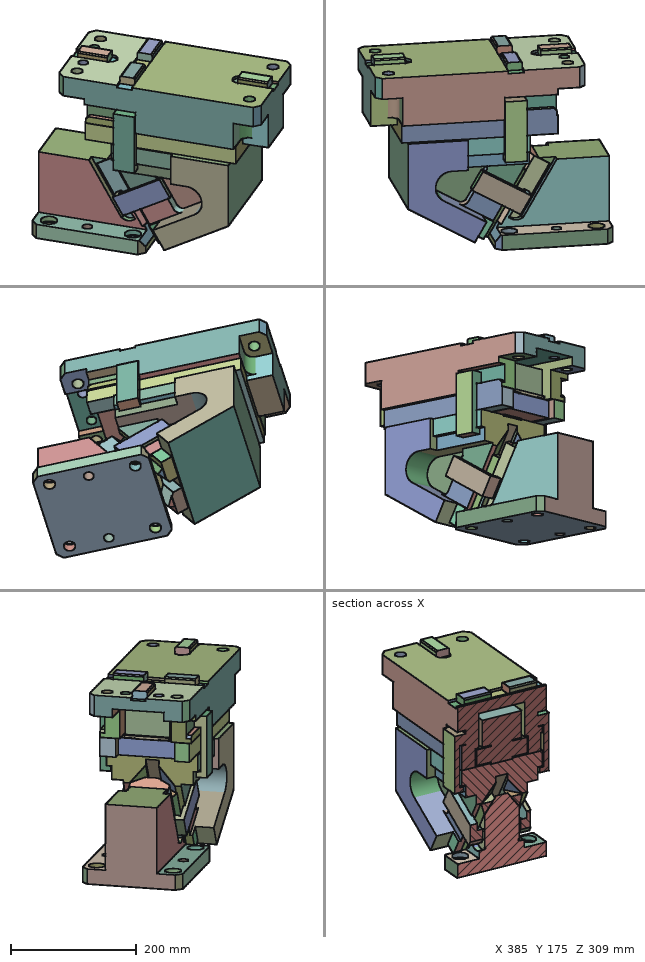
import cadquery as cq
import math

BODY_HALF_WIDTH = 82.5
CORNER_CHAMFER = 10.0
BOLT_DIAMETER = 18.0
DOWEL_DIAMETER = 15.8
HOOK_PLATE_WIDTH = 35.0
SIDES = (-1, 1)
CLEAR = 19.2

CAM_ANGLE = 30.0
CAM_X = 131.5
CAM_Z = 145.5
COS = math.cos(math.radians(CAM_ANGLE))
SIN = math.sin(math.radians(CAM_ANGLE))
CAM_CROSS = cq.Plane(origin=(CAM_X, 0, CAM_Z), xDir=(0, 1, 0), normal=(SIN, 0, -COS))

BASE_LENGTH = 190.5
BASE_THICKNESS = 25.0
BLOCK_HALF_WIDTH = 42.5
BLOCK_TOP = 134.0
BASE_BOLT_INSET = 24.5
BASE_BOLT_Y = 62.8
BASE_BORE_DIAMETER = 26.0
BASE_BORE_DEPTH = 8.5
BASE_DOWEL_X = 89.5

RIDGE_CREST_HALF = 10.8
RIDGE_FOOT_N = -20.5
RIDGE_LENGTH = 121.5
RIDGE_SLOPE = -RIDGE_FOOT_N / (BLOCK_HALF_WIDTH - RIDGE_CREST_HALF)
TOE_N = -16.0
RIDGE_ROOT_N = -43.0

POCKET_N = -46.2
POCKET_END_S = 106.3
POCKET_HALF_WIDTH = 32.5
POCKET_RADIUS = 15.5
RELIEF_HALF_WIDTH = 30.5
RELIEF_END_S = 96.2
WING_UNDERSIDE_N = -25.8
WING_START_S = 73.0

SLIDER_FRONT = 134.0
SLIDER_BACK = 333.5
SLIDER_TOP = 187.5
SLIDER_UNDERSIDE_N = -4.0
SLIDER_END_S = 154.5
ARM_FRONT_N = 16.0
ARM_END_S = 159.5
ARM_INNER_HALF = 52.0
WEB_HALF_WIDTH = 47.7

RAIL_HALF_WIDTH = 75.0
RAIL_NECK_HALF = 67.0
RAIL_UNDERSIDE = 159.5
RAIL_END = 236.5

SLOT_TOP = 137.5
SLOT_FLOOR_S = 121.3
SLOT_RADIUS = 26.0
DEEP_HALF_WIDTH = 31.5
DEEP_X = 198.5
DEEP_N = 48.5
DEEP_RADIUS = 10.0

GROOVE_ROOF_N = 16.5
SEAT_TOP_N = 11.5
SEAT_HALF_WIDTH = 37.5
PAD_TIP_N = -14.2
PAD_ROOT_HALF = 39.0
PAD_START_S = 27.0
PAD_END_S = 152.0

CLAMP_START_S = 55.0
CLAMP_LOW_N = -35.5
CLAMP_HIGH_N = 56.0
CLAMP_INNER = 45.5
CLAMP_OUTER = {-1: 53.5, 1: 59.0}
CLAMP_LIP_INNER = 34.5
CLAMP_LIP_HEIGHT = 9.2

PLATE_FRONT = 45.0
PLATE_BACK = 385.0
PLATE_TOP = 300.0
PLATE_UNDERSIDE = 265.3
HOLDER_FRONT = 90.5
HOLDER_BACK = 342.0
WEAR_FRONT = 89.0
WEAR_BACK = 342.3
WEAR_TOP = 218.3
WEAR_RIGHT = -72.8
WEAR_LEFT = 75.0

SIDE_GROOVE_TOP = 255.5
SIDE_GROOVE_FLOOR = 230.5
SIDE_GROOVE_HALF = 67.0
LEDGE_CHAMFER = 5.0

HANGER_LENGTH = 101.5
HANGER_BOTTOM = 148.5
HANGER_BACK = 176.7
HANGER_INNER = 77.5
HANGER_SPAN = 175.0
HANGER_TOP_LIP = 19.2
HANGER_LOW_LIP = 9.5
HANGER_LOW_LIP_INNER = 70.0

BAY_HALF_WIDTH = 42.5
BAY_ROOF = 279.0
BAY_END = 192.5
WEAR_SLOT_HALF = 48.5
CORE_GAP = 1.0
CORE_FRONT = 98.5
CORE_HALF_WIDTH = 36.5
CORE_TOP = 266.5
CORE_NECK_TOP = 222.0
CORE_STEP = 5.0
FOOT_STEP = 1.0
GUIDE_HALF_WIDTH = 20.0
GUIDE_DEPTH = 1.5

LUG_HALF_WIDTH = 36.5
LUG_BOTTOM = 205.5
LUG_FILLET = 15.5

KEY_LENGTH = 50.0
KEY_HALF_WIDTH = 12.5
KEY_TOP = 309.0
KEY_CHAMFER = 2.5
KEYWAY_FLOOR = 295.5
FRONT_KEY_X = 55.5
BACK_KEY_X = 325.0
CROSS_KEY_X = 158.2
CROSS_KEYWAY_HALF = 12.7
CROSS_KEY_INNER = 17.5
FRONT_HOLE_X = 70.0
BACK_HOLE_X = 360.5
PLATE_BOLT_Y = 57.5
PLATE_DOWEL_Y = 27.5


def block(x0, x1, y0, y1, z0, z1):
    return cq.Workplane("XY").box(x1 - x0, y1 - y0, z1 - z0, centered=False).translate((x0, y0, z0))


def side_block(x0, x1, inner, outer, z0, z1, side):
    """Box lying between two distances from the middle plane on one side."""
    low, high = sorted((side * inner, side * outer))
    return block(x0, x1, low, high, z0, z1)


def cam_prism(points, s0, s1):
    """Outline in (y, n) extruded down the cam slope."""
    return cq.Workplane(CAM_CROSS).workplane(offset=s0).polyline(points).close().extrude(s1 - s0)


def cam_block(n0, n1, y0, y1, s0, s1):
    return cam_prism([(y0, n0), (y1, n0), (y1, n1), (y0, n1)], s0, s1)


def cam_point(n, s):
    """(x, z) of a point given in cam coordinates."""
    return (CAM_X + n * COS + s * SIN, CAM_Z + n * SIN - s * COS)


def z_on_n(n, x):
    return CAM_Z + (n - (x - CAM_X) * COS) / SIN


def z_on_s(s, x):
    return CAM_Z + ((x - CAM_X) * SIN - s) / COS


def side_extrude(outline, inner, outer, side):
    """Extrude an XZ outline between two distances from the middle plane."""
    solid = outline.extrude(inner - outer)
    offset = inner if side > 0 else -outer
    return solid.translate((0, offset, 0))


def mirrored_profile(half):
    """Close a (y, n) half outline by its mirror image."""
    return half + [(-y, n) for y, n in reversed(half)]


def driver_base():
    base = block(0, BASE_LENGTH, -BODY_HALF_WIDTH, BODY_HALF_WIDTH, 0, BASE_THICKNESS)
    base = base.edges("|Z").chamfer(CORNER_CHAMFER)
    bolts = [
        (x, side * BASE_BOLT_Y)
        for x in (BASE_BOLT_INSET, BASE_LENGTH - BASE_BOLT_INSET)
        for side in SIDES
    ]
    dowels = [(BASE_DOWEL_X, side * BASE_BOLT_Y) for side in SIDES]
    top = cq.Workplane("XY", origin=(0, 0, BASE_THICKNESS))
    bolt_holes = top.pushPoints(bolts).circle(BOLT_DIAMETER / 2).extrude(-BASE_THICKNESS)
    bores = top.pushPoints(bolts).circle(BASE_BORE_DIAMETER / 2).extrude(-BASE_BORE_DEPTH)
    dowel_holes = top.pushPoints(dowels).circle(DOWEL_DIAMETER / 2).extrude(-BASE_THICKNESS)
    return base.cut(bolt_holes).cut(bores).cut(dowel_holes)


def slant_cut(n, s0, s1):
    """Everything on the slider side of the slanted face at n, between s0 and s1."""
    half_width = BODY_HALF_WIDTH + CLEAR
    return cam_block(n, n + BASE_LENGTH, -half_width, half_width, s0, s1)


def driver_ridge():
    half = [
        (BLOCK_HALF_WIDTH, RIDGE_ROOT_N),
        (BLOCK_HALF_WIDTH, RIDGE_FOOT_N),
        (RIDGE_CREST_HALF, 0),
    ]
    return cam_prism(mirrored_profile(half), 0, RIDGE_LENGTH)


def lip_pocket(side):
    """Pocket in one block flank that runs under a wing at its lower end."""
    above = -CLEAR
    outline = (
        cq.Workplane("XZ")
        .moveTo(*cam_point(POCKET_N, above))
        .lineTo(*cam_point(CLEAR, above))
        .lineTo(*cam_point(CLEAR, WING_START_S))
        .lineTo(*cam_point(WING_UNDERSIDE_N, WING_START_S))
        .lineTo(*cam_point(WING_UNDERSIDE_N, POCKET_END_S))
        .lineTo(*cam_point(POCKET_N + POCKET_RADIUS, POCKET_END_S))
        .tangentArcPoint(cam_point(POCKET_N, POCKET_END_S - POCKET_RADIUS), relative=False)
        .close()
    )
    return side_extrude(outline, POCKET_HALF_WIDTH, BLOCK_HALF_WIDTH + CLEAR, side)


def pocket_relief(side):
    """Shallow step along the back of the pocket and around the ridge end."""
    low, high = sorted((side * RELIEF_HALF_WIDTH, side * BLOCK_HALF_WIDTH))
    back = cam_block(POCKET_N, RIDGE_ROOT_N, low, high, -CLEAR, RELIEF_END_S)
    end = cam_block(POCKET_N, CLEAR, low, high, -CLEAR, 0)
    return back.union(end)


def make_driver():
    tower = block(0, BASE_LENGTH, -BLOCK_HALF_WIDTH, BLOCK_HALF_WIDTH, 0, BLOCK_TOP)
    body = driver_base().union(tower)
    body = body.cut(slant_cut(TOE_N, RIDGE_LENGTH, 2 * RIDGE_LENGTH))
    body = body.cut(slant_cut(RIDGE_FOOT_N, -RIDGE_LENGTH, RIDGE_LENGTH))
    body = body.union(driver_ridge())
    for side in SIDES:
        body = body.cut(lip_pocket(side)).cut(pocket_relief(side))
    return body


def slider_blank():
    outline = [
        (SLIDER_FRONT, SLIDER_TOP),
        (SLIDER_BACK, SLIDER_TOP),
        (SLIDER_BACK, z_on_s(ARM_END_S, SLIDER_BACK)),
        cam_point(ARM_FRONT_N, ARM_END_S),
        cam_point(ARM_FRONT_N, SLIDER_END_S),
        cam_point(SLIDER_UNDERSIDE_N, SLIDER_END_S),
        (SLIDER_FRONT, z_on_n(SLIDER_UNDERSIDE_N, SLIDER_FRONT)),
    ]
    return cq.Workplane("XZ").polyline(outline).close().extrude(BODY_HALF_WIDTH, both=True)


def slot_end(outline):
    """Continue an outline from the slot floor round its blind end to the slot top."""
    centre_z = SLOT_TOP - SLOT_RADIUS
    centre_x = CAM_X + (SLOT_FLOOR_S - SLOT_RADIUS + (centre_z - CAM_Z) * COS) / SIN
    middle = math.radians(CAM_ANGLE / 2)
    return (
        outline.lineTo(centre_x + SLOT_RADIUS * SIN, centre_z - SLOT_RADIUS * COS)
        .threePointArc(
            (centre_x + SLOT_RADIUS * math.cos(middle), centre_z + SLOT_RADIUS * math.sin(middle)),
            (centre_x, SLOT_TOP),
        )
    )


def side_slot(side):
    """Wide slot, open at the front, between the rail and the lower arm."""
    mouth = cam_point(SLIDER_UNDERSIDE_N - CLEAR, SLOT_FLOOR_S)
    outline = slot_end(cq.Workplane("XZ").moveTo(*mouth))
    outline = outline.lineTo(SLIDER_FRONT - CLEAR, SLOT_TOP).close()
    return side_extrude(outline, WEB_HALF_WIDTH, BODY_HALF_WIDTH + CLEAR, side)


def deep_slot(side):
    """Deeper rear part of the side slot."""
    outline = (
        cq.Workplane("XZ")
        .moveTo(DEEP_X, SLOT_TOP)
        .lineTo(DEEP_X, z_on_n(DEEP_N, DEEP_X))
        .lineTo(*cam_point(DEEP_N, SLOT_FLOOR_S - DEEP_RADIUS))
        .tangentArcPoint(cam_point(DEEP_N + DEEP_RADIUS, SLOT_FLOOR_S), relative=False)
    )
    outline = slot_end(outline).close()
    return side_extrude(outline, DEEP_HALF_WIDTH, WEB_HALF_WIDTH, side)


def rail_recess(side):
    """Steps that leave a flange along the upper front of the slider."""
    outer = BODY_HALF_WIDTH + CLEAR
    flange = side_block(SLIDER_FRONT, RAIL_END, RAIL_HALF_WIDTH, outer, RAIL_UNDERSIDE, SLIDER_TOP, side)
    neck = side_block(SLIDER_FRONT, RAIL_END, RAIL_NECK_HALF, outer, SLOT_TOP, RAIL_UNDERSIDE, side)
    return flange.union(neck)


def arm_recess(side):
    low, high = sorted((side * ARM_INNER_HALF, side * (BODY_HALF_WIDTH + CLEAR)))
    return cam_block(SLIDER_UNDERSIDE_N - CLEAR, ARM_FRONT_N, low, high, SLOT_FLOOR_S, ARM_END_S)


def wear_pads():
    """Pads below the slider, before the ridge shape is taken out of them."""
    tip_half = RIDGE_CREST_HALF - PAD_TIP_N / RIDGE_SLOPE
    half = [(tip_half, PAD_TIP_N), (PAD_ROOT_HALF, SLIDER_UNDERSIDE_N)]
    return cam_prism(mirrored_profile(half), PAD_START_S, PAD_END_S)


def slider_grooves():
    """V bearing faces, V relief above them and the straight slot between."""
    bearing = [(BLOCK_HALF_WIDTH, RIDGE_FOOT_N), (RIDGE_CREST_HALF, 0)]
    relief = [(SEAT_HALF_WIDTH, SLIDER_UNDERSIDE_N), (RIDGE_CREST_HALF, SEAT_TOP_N)]
    top_s = -SLIDER_END_S
    grooves = cam_prism(mirrored_profile(bearing), top_s, SLIDER_END_S)
    grooves = grooves.union(cam_prism(mirrored_profile(relief), top_s, PAD_START_S))
    slot = cam_block(
        RIDGE_FOOT_N, GROOVE_ROOF_N, -RIDGE_CREST_HALF, RIDGE_CREST_HALF, top_s, SLIDER_END_S
    )
    return grooves.union(slot)


def slider_clamp(side):
    """Inclined plate whose lower lip hooks into the driver pocket."""
    end_s = CLAMP_START_S + HOOK_PLATE_WIDTH
    low, high = sorted((side * CLAMP_INNER, side * CLAMP_OUTER[side]))
    plate = cam_block(CLAMP_LOW_N, CLAMP_HIGH_N, low, high, CLAMP_START_S, end_s)
    low, high = sorted((side * CLAMP_LIP_INNER, side * CLAMP_INNER))
    lip_top = CLAMP_LOW_N + CLAMP_LIP_HEIGHT
    return plate.union(cam_block(CLAMP_LOW_N, lip_top, low, high, CLAMP_START_S, end_s))


def make_slider():
    body = slider_blank()
    for side in SIDES:
        body = body.cut(side_slot(side)).cut(deep_slot(side))
        body = body.cut(rail_recess(side)).cut(arm_recess(side))
    body = body.union(wear_pads()).cut(slider_grooves())
    guide_groove = block(
        SLIDER_FRONT, BAY_END, -GUIDE_HALF_WIDTH, GUIDE_HALF_WIDTH, SLIDER_TOP - GUIDE_DEPTH, SLIDER_TOP
    )
    body = body.cut(guide_groove)
    for side in SIDES:
        body = body.union(slider_clamp(side))
    return body


def holder_plate():
    plate = block(PLATE_FRONT, PLATE_BACK, -BODY_HALF_WIDTH, BODY_HALF_WIDTH, PLATE_UNDERSIDE, PLATE_TOP)
    plate = plate.edges("|Z").chamfer(CORNER_CHAMFER)
    bolts = [(x, side * PLATE_BOLT_Y) for x in (FRONT_HOLE_X, BACK_HOLE_X) for side in SIDES]
    dowels = [(FRONT_HOLE_X, side * PLATE_DOWEL_Y) for side in SIDES]
    top = cq.Workplane("XY", origin=(0, 0, PLATE_TOP))
    depth = PLATE_TOP - PLATE_UNDERSIDE
    plate = plate.cut(top.pushPoints(bolts).circle(BOLT_DIAMETER / 2).extrude(-depth))
    return plate.cut(top.pushPoints(dowels).circle(DOWEL_DIAMETER / 2).extrude(-depth))


def holder_side_cut(side):
    """Groove for the hanger lip with a narrower ledge below it."""
    outer = BODY_HALF_WIDTH + CLEAR
    groove = side_block(
        HOLDER_FRONT, HANGER_BACK, SIDE_GROOVE_HALF, outer, SIDE_GROOVE_FLOOR, SIDE_GROOVE_TOP, side
    )
    ledge = side_block(
        HOLDER_FRONT, HANGER_BACK, RAIL_HALF_WIDTH, outer, WEAR_TOP, SIDE_GROOVE_FLOOR, side
    )
    corner = cq.Workplane("XZ").polyline([
        (HOLDER_FRONT, SIDE_GROOVE_FLOOR),
        (HOLDER_FRONT + LEDGE_CHAMFER, SIDE_GROOVE_FLOOR),
        (HOLDER_FRONT, SIDE_GROOVE_FLOOR - LEDGE_CHAMFER),
    ]).close()
    return groove.union(ledge).union(side_extrude(corner, SIDE_GROOVE_HALF, outer, side))


def hanger(side):
    """Upright plate that hangs the slider rail from the holder."""
    front = HANGER_BACK - HOOK_PLATE_WIDTH
    top = HANGER_BOTTOM + HANGER_LENGTH
    plate = side_block(front, HANGER_BACK, HANGER_INNER, HANGER_SPAN / 2, HANGER_BOTTOM, top, side)
    upper_lip = side_block(
        front, HANGER_BACK, SIDE_GROOVE_HALF, HANGER_INNER, top - HANGER_TOP_LIP, top, side
    )
    lower_lip = side_block(
        front, HANGER_BACK, HANGER_LOW_LIP_INNER, HANGER_INNER,
        HANGER_BOTTOM, HANGER_BOTTOM + HANGER_LOW_LIP, side
    )
    return plate.union(upper_lip).union(lower_lip)


def front_bay():
    bay = block(PLATE_FRONT, BAY_END, -BAY_HALF_WIDTH, BAY_HALF_WIDTH, WEAR_TOP, BAY_ROOF)
    return bay.union(block(WEAR_FRONT, BAY_END, -WEAR_SLOT_HALF, WEAR_SLOT_HALF, SLIDER_TOP, WEAR_TOP))


def bay_core():
    """Stepped core in the bay; a guide joins its neck and foot and enters the slider."""
    foot_half = WEAR_SLOT_HALF - CORE_GAP
    foot_bottom = SLIDER_TOP + CORE_GAP
    foot_top = WEAR_TOP - CORE_GAP
    guide_bottom = SLIDER_TOP - GUIDE_DEPTH
    box = block(
        CORE_FRONT + CORE_STEP, BAY_END, -CORE_HALF_WIDTH, CORE_HALF_WIDTH, CORE_NECK_TOP, CORE_TOP
    )
    neck = block(CORE_FRONT, BAY_END, -CORE_HALF_WIDTH, CORE_HALF_WIDTH, WEAR_TOP, CORE_NECK_TOP)
    link = block(CORE_FRONT, BAY_END, -GUIDE_HALF_WIDTH, GUIDE_HALF_WIDTH, foot_top, WEAR_TOP)
    foot = block(CORE_FRONT + FOOT_STEP, BAY_END, -foot_half, foot_half, foot_bottom, foot_top)
    guide = block(
        SLIDER_FRONT, BAY_END, -GUIDE_HALF_WIDTH, GUIDE_HALF_WIDTH, guide_bottom, foot_bottom
    )
    return box.union(neck).union(link).union(foot).union(guide)


def rear_lug():
    lug = block(HOLDER_BACK, PLATE_BACK, -LUG_HALF_WIDTH, LUG_HALF_WIDTH, LUG_BOTTOM, PLATE_UNDERSIDE)
    for side in SIDES:
        flare = (
            cq.Workplane("XY", origin=(0, 0, WEAR_TOP))
            .moveTo(HOLDER_BACK, side * LUG_HALF_WIDTH)
            .lineTo(HOLDER_BACK, side * (LUG_HALF_WIDTH + LUG_FILLET))
            .radiusArc((HOLDER_BACK + LUG_FILLET, side * LUG_HALF_WIDTH), -side * LUG_FILLET)
            .close()
            .extrude(PLATE_UNDERSIDE - WEAR_TOP)
        )
        lug = lug.union(flare)
    return lug


def chamfered_key(x0, x1, y0, y1, long_edges):
    key = block(x0, x1, y0, y1, KEYWAY_FLOOR, KEY_TOP)
    return key.faces(">Z").edges(long_edges).chamfer(KEY_CHAMFER)


def end_keyway(key_x, inner_x, edge_x):
    """Shallow slot from a plate end to a round inner end."""
    x0, x1 = sorted((inner_x, edge_x))
    slot = block(x0, x1, -KEY_HALF_WIDTH, KEY_HALF_WIDTH, KEYWAY_FLOOR, PLATE_TOP)
    round_end = cq.Workplane("XY", origin=(inner_x, 0, KEYWAY_FLOOR)).circle(KEY_HALF_WIDTH)
    slot = slot.union(round_end.extrude(PLATE_TOP - KEYWAY_FLOOR))
    key = chamfered_key(key_x, key_x + KEY_LENGTH, -KEY_HALF_WIDTH, KEY_HALF_WIDTH, "|X")
    return slot, key


def add_keys(body):
    front_slot, front_key = end_keyway(FRONT_KEY_X, FRONT_KEY_X + KEY_LENGTH, PLATE_FRONT)
    back_slot, back_key = end_keyway(BACK_KEY_X, BACK_KEY_X, PLATE_BACK)
    x0 = CROSS_KEY_X - CROSS_KEYWAY_HALF
    x1 = CROSS_KEY_X + CROSS_KEYWAY_HALF
    cross_slot = block(x0, x1, -BODY_HALF_WIDTH, BODY_HALF_WIDTH, KEYWAY_FLOOR, PLATE_TOP)
    body = body.cut(front_slot).cut(back_slot).cut(cross_slot)
    body = body.union(front_key).union(back_key)
    for side in SIDES:
        y0, y1 = sorted((side * CROSS_KEY_INNER, side * (CROSS_KEY_INNER + KEY_LENGTH)))
        body = body.union(chamfered_key(x0, x1, y0, y1, "|Y"))
    return body


def make_holder():
    body = block(HOLDER_FRONT, HOLDER_BACK, -BODY_HALF_WIDTH, BODY_HALF_WIDTH, WEAR_TOP, PLATE_UNDERSIDE)
    for side in SIDES:
        body = body.cut(holder_side_cut(side))
    wear_strip = block(WEAR_FRONT, WEAR_BACK, WEAR_RIGHT, WEAR_LEFT, SLIDER_TOP, WEAR_TOP)
    body = body.union(holder_plate()).union(wear_strip).union(rear_lug())
    body = body.cut(front_bay()).union(bay_core())
    for side in SIDES:
        body = body.union(hanger(side))
    return add_keys(body)


driver = make_driver()
slider = make_slider()
holder = make_holder()

result = cq.Compound.makeCompound([driver.solids().val(), slider.solids().val(), holder.solids().val()])